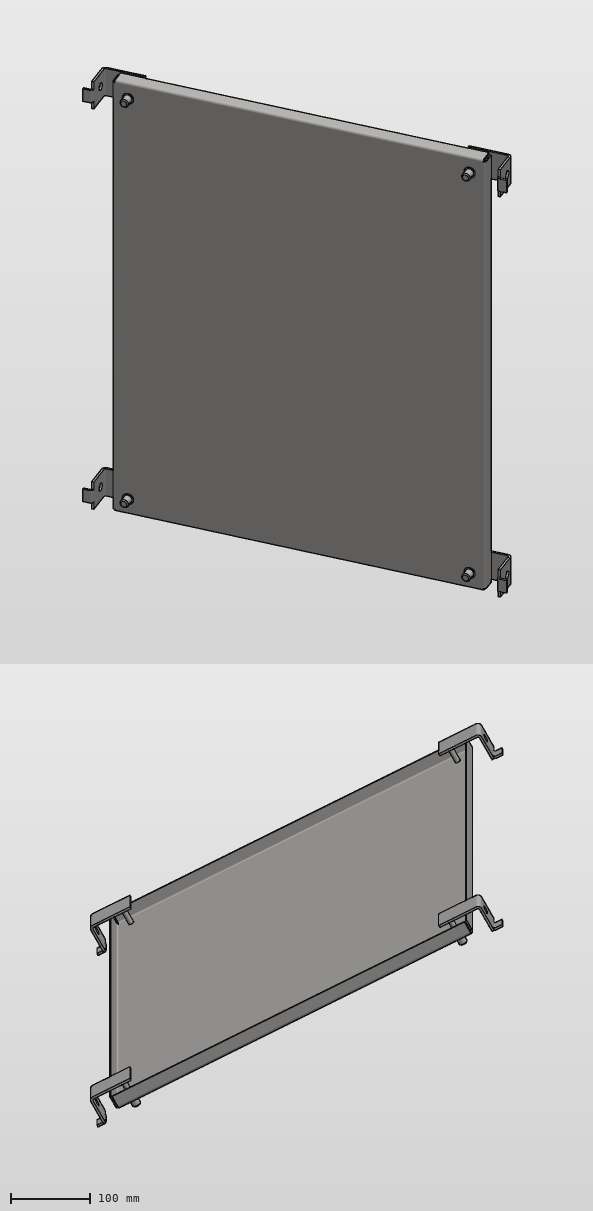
import cadquery as cq

PANEL_WIDTH = 505.5
PANEL_HEIGHT = 632.0
PANEL_DEPTH = 19.0
PANEL_FRONT_Y = -29.0
ASSEMBLY_WIDTH = 574.0
ASSEMBLY_DEPTH = 43.0

PANEL_SHEET = 2.0
PANEL_BEND_RADIUS = 4.0
CORNER_NOTCH = 3.0

FIXING_X = 231.0
FIXING_Z = 293.0

BRACKET_HEIGHT = 40.0
BRACKET_SHEET = 3.0
BRACKET_INNER_RADIUS = 2.2
FOOT_INNER_RADIUS = 0.5
BRACKET_INNER_END_X = 218.5
LEG_OUTER_X = 277.0
LEG_FULL_DEPTH = 38.5
FOOT_HEIGHT = 18.5
LEG_HOLE_DIAMETER = 10.0
LEG_HOLE_FROM_BACK = 16.0

SHANK_DIAMETER = 7.0
COLLAR_DIAMETER = 15.0
COLLAR_THICKNESS = 0.5
HEAD_DIAMETER = 11.5
HEAD_CHAMFER = 1.6

BRACKET_OUTER_RADIUS = BRACKET_INNER_RADIUS + BRACKET_SHEET
FOOT_OUTER_RADIUS = FOOT_INNER_RADIUS + BRACKET_SHEET
FOOT_TIP_X = ASSEMBLY_WIDTH / 2
FIXINGS = [(side * FIXING_X, end * FIXING_Z) for side in (-1, 1) for end in (-1, 1)]


def cylinder_along_y(x, z, diameter, y_front, y_back):
    """Round bar parallel to Y between two depths."""
    return (
        cq.Workplane("XZ", origin=(x, y_back, z))
        .circle(diameter / 2)
        .extrude(y_back - y_front)
    )


def make_panel():
    """Shallow tray, open at the back, with relieved corners and screw holes."""
    middle_y = PANEL_FRONT_Y + PANEL_DEPTH / 2
    panel = (
        cq.Workplane("XY")
        .box(PANEL_WIDTH, PANEL_DEPTH, PANEL_HEIGHT)
        .faces("<Y").edges().fillet(PANEL_BEND_RADIUS)
    )
    inner_radius = PANEL_BEND_RADIUS - PANEL_SHEET
    hollow = (
        cq.Workplane("XY")
        .box(PANEL_WIDTH - 2 * PANEL_SHEET, PANEL_DEPTH, PANEL_HEIGHT - 2 * PANEL_SHEET)
        .faces("<Y").edges().fillet(inner_radius)
        .translate((0, PANEL_SHEET, 0))
    )
    notches = (
        cq.Workplane("XZ", origin=(0, PANEL_DEPTH, 0))
        .rarray(PANEL_WIDTH, PANEL_HEIGHT, 2, 2)
        .rect(2 * CORNER_NOTCH, 2 * CORNER_NOTCH)
        .extrude(2 * PANEL_DEPTH)
    )
    panel = panel.cut(hollow).cut(notches).translate((0, middle_y, 0))
    for x, z in FIXINGS:
        panel = panel.cut(
            cylinder_along_y(x, z, SHANK_DIAMETER, PANEL_FRONT_Y, PANEL_FRONT_Y + PANEL_SHEET)
        )
    return panel


def make_bracket(side, end):
    """Bracket bent twice; side is the sign of X and end is the sign of Z."""
    leg_inner_x = LEG_OUTER_X - BRACKET_SHEET
    foot_back_y = BRACKET_SHEET - ASSEMBLY_DEPTH
    bracket = (
        cq.Workplane("XY")
        .moveTo(BRACKET_INNER_END_X, 0)
        .lineTo(LEG_OUTER_X, 0)
        .lineTo(LEG_OUTER_X, foot_back_y)
        .lineTo(FOOT_TIP_X, foot_back_y)
        .lineTo(FOOT_TIP_X, -ASSEMBLY_DEPTH)
        .lineTo(leg_inner_x, -ASSEMBLY_DEPTH)
        .lineTo(leg_inner_x, -BRACKET_SHEET)
        .lineTo(BRACKET_INNER_END_X, -BRACKET_SHEET)
        .close()
        .extrude(BRACKET_HEIGHT / 2, both=True)
    )

    folds = (
        (LEG_OUTER_X, 0, BRACKET_OUTER_RADIUS),
        (leg_inner_x, -BRACKET_SHEET, BRACKET_INNER_RADIUS),
        (LEG_OUTER_X, foot_back_y, FOOT_INNER_RADIUS),
        (leg_inner_x, -ASSEMBLY_DEPTH, FOOT_OUTER_RADIUS),
    )
    for x, y, radius in folds:
        fold_edge = cq.selectors.NearestToPointSelector((x, y, 0))
        bracket = bracket.edges("|Z").edges(fold_edge).fillet(radius)

    trim_height = (BRACKET_HEIGHT - FOOT_HEIGHT) / 2
    trim_block = cq.Workplane("XY").box(
        FOOT_TIP_X - leg_inner_x,
        ASSEMBLY_DEPTH - LEG_FULL_DEPTH,
        trim_height,
    )
    trim_x = (FOOT_TIP_X + leg_inner_x) / 2
    trim_y = -(ASSEMBLY_DEPTH + LEG_FULL_DEPTH) / 2
    trim_z = (FOOT_HEIGHT + trim_height) / 2
    for trim_side in (-1, 1):
        bracket = bracket.cut(trim_block.translate((trim_x, trim_y, trim_side * trim_z)))

    leg_hole = (
        cq.Workplane("YZ", origin=(leg_inner_x, -LEG_HOLE_FROM_BACK, 0))
        .circle(LEG_HOLE_DIAMETER / 2)
        .extrude(BRACKET_SHEET)
    )
    bracket = bracket.cut(leg_hole)
    if side < 0:
        bracket = bracket.mirror("YZ")
    return bracket.translate((0, 0, end * FIXING_Z))


def make_screw(x, z):
    """Screw from the bracket plate through the panel to its exposed head."""
    shank = cylinder_along_y(x, z, SHANK_DIAMETER, PANEL_FRONT_Y, -BRACKET_SHEET)
    collar = cylinder_along_y(
        x, z, COLLAR_DIAMETER, PANEL_FRONT_Y - COLLAR_THICKNESS, PANEL_FRONT_Y
    )
    head = cylinder_along_y(x, z, HEAD_DIAMETER, -ASSEMBLY_DEPTH, PANEL_FRONT_Y)
    head = head.faces("<Y").chamfer(HEAD_CHAMFER)
    return shank.union(collar).union(head)


panel = make_panel()
brackets = [make_bracket(side, end) for side in (-1, 1) for end in (-1, 1)]
screws = [make_screw(x, z) for x, z in FIXINGS]

result = cq.Compound.makeCompound(
    [panel.val()] + [bracket.val() for bracket in brackets] + [screw.val() for screw in screws]
)